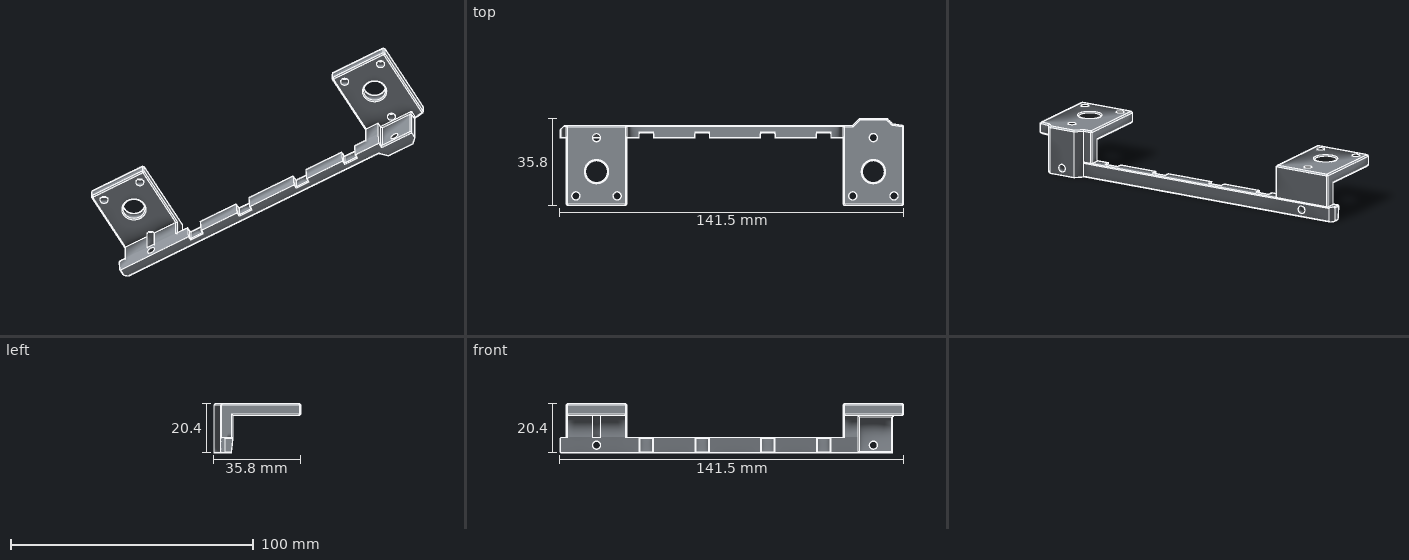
import cadquery as cq

total_length = 141.5
total_depth = 35.8
total_height = 20.35

edge_chamfer = 0.6
small_chamfer = 0.4

plate_width = 25.0
plate_thickness = 5.0
plate_bottom = total_height - plate_thickness
right_plate_x = total_length - plate_width
bracket_spacing = 114.0
left_plate_x = right_plate_x - bracket_spacing

rear_y = -2.8
leg_front_y = -7.9
bar_height = 6.35
bar_front_draft = 0.7
bar_end_corner = 1.8
hump_top_width = 11.6
pad_front_y = -5.4
pad_right_offset = 7.9
pad_left_offset = 6.3

screw_diameter = 3.25
mount_diameter = 3.2
center_diameter = 9.0
center_chamfer = 0.5
hole_pair_spacing = 17.0
back_hole_y = -7.8
back_to_center_hole = 14.0
center_to_front_holes = 10.0
center_hole_y = back_hole_y - back_to_center_hole
front_hole_y = center_hole_y - center_to_front_holes
mount_hole_z = bar_height / 2

notch_width = 6.0
notch_floor_y = -5.8
inner_notch_offset = 13.5
outer_notch_offset = 36.5
notch_overrun = 1.0

left_center_x = left_plate_x + plate_width / 2
right_center_x = right_plate_x + plate_width / 2
bar_right_x = right_center_x - pad_left_offset
pad_right_x = right_center_x + pad_right_offset
hump_left_x = right_center_x - hump_top_width / 2
hump_right_x = right_center_x + hump_top_width / 2
hump_left_base_x = hump_left_x + rear_y
hump_right_base_y = hump_right_x - pad_right_x


def box(x_min, x_max, y_min, y_max, z_min, z_max):
    """Axis-aligned block given by its limits."""
    size = (x_max - x_min, y_max - y_min, z_max - z_min)
    return cq.Workplane("XY").box(*size, centered=False).translate((x_min, y_min, z_min))


def prism(outline, z_min, z_max):
    """Upright prism over a closed XY outline."""
    return cq.Workplane("XY").workplane(offset=z_min).polyline(outline).close().extrude(z_max - z_min)


def bevel_plate(plate):
    """Bevel the outer corners of a plate, the rear ones less, then its top and bottom rims."""
    plate = plate.edges("|Z and <Y").chamfer(edge_chamfer)
    plate = plate.edges("|Z").edges("<X or >X").edges(">Y").chamfer(small_chamfer)
    return plate.faces("<Z or >Z").edges().chamfer(edge_chamfer)


def make_left_plate():
    """Plain rectangular plate."""
    plate = box(left_plate_x, left_plate_x + plate_width, -total_depth, rear_y, plate_bottom, total_height)
    return bevel_plate(plate)


def make_right_plate():
    """Plate with a hump at its rear edge."""
    outline = [
        (right_plate_x, -total_depth),
        (total_length, -total_depth),
        (total_length, rear_y),
        (pad_right_x, hump_right_base_y),
        (hump_right_x, 0),
        (hump_left_x, 0),
        (hump_left_base_x, rear_y),
        (right_plate_x, rear_y),
    ]
    return bevel_plate(prism(outline, plate_bottom, total_height))


def make_leg(x_min, x_max, outer_sides):
    """Upright leg that joins a plate to the bar, bevelled along its outer sides."""
    leg = box(x_min, x_max, leg_front_y, rear_y, bar_height, total_height - edge_chamfer)
    leg = leg.edges("|Z and <Y").edges(outer_sides).chamfer(edge_chamfer)
    return leg.edges("|Z and >Y").edges(outer_sides).chamfer(small_chamfer)


def make_pad():
    """Rear mounting pad under the right plate, with the hump outline at its back."""
    outline = [
        (hump_left_base_x, pad_front_y),
        (pad_right_x, pad_front_y),
        (pad_right_x, hump_right_base_y),
        (hump_right_x, 0),
        (hump_left_x, 0),
        (hump_left_base_x, rear_y),
    ]
    pad = prism(outline, 0, total_height - edge_chamfer)
    pad = pad.edges("|Z and >X and <Y").chamfer(small_chamfer)
    return pad.edges("<Z and <Y").chamfer(edge_chamfer)


def make_bar():
    """Long bar with a drafted front face and a sloped rear corner at its free end."""
    section = [
        (rear_y, 0),
        (rear_y, bar_height),
        (leg_front_y, bar_height),
        (leg_front_y + bar_front_draft, 0),
    ]
    bar = cq.Workplane("YZ").polyline(section).close().extrude(bar_right_x)
    bar = bar.edges("|Z and <X and >Y").chamfer(bar_end_corner)
    bar = bar.faces("<X or >Y").edges("<Z or >Z").chamfer(small_chamfer)
    return bar


def make_pad_corners():
    """Sloped inside corners that join the pad to the plate above it and to the leg and bar beside it."""
    under_plate = box(
        bar_right_x,
        pad_right_x + edge_chamfer,
        pad_front_y - edge_chamfer,
        rear_y - edge_chamfer,
        plate_bottom - edge_chamfer,
        plate_bottom + edge_chamfer,
    )
    under_plate = under_plate.edges("<Z and (<Y or >X)").chamfer(edge_chamfer)
    beside_leg = prism(
        [
            (bar_right_x, pad_front_y),
            (bar_right_x + edge_chamfer, pad_front_y),
            (bar_right_x, pad_front_y - edge_chamfer),
        ],
        edge_chamfer,
        plate_bottom,
    )
    return under_plate.union(beside_leg)


def make_notch(center_x):
    """Notch cutter: its floor has bevelled top and bottom edges and bevelled inside corners."""
    open_y = leg_front_y - notch_overrun
    lip_y = notch_floor_y + small_chamfer
    section = [
        (open_y, 0),
        (lip_y, 0),
        (notch_floor_y, small_chamfer),
        (notch_floor_y, bar_height - small_chamfer),
        (lip_y, bar_height),
        (open_y, bar_height),
    ]
    cutter = cq.Workplane("YZ").polyline(section).close().extrude(notch_width)
    cutter = cutter.edges("|Z").edges(">Y").chamfer(small_chamfer)
    return cutter.translate((center_x - notch_width / 2, 0, 0))


def make_plate_holes(center_x):
    """Vertical holes of one bracket: bevelled centre hole, back screw hole and a front pair."""
    depth = total_height - bar_height
    half_pair = hole_pair_spacing / 2
    screw_points = [
        (center_x, back_hole_y),
        (center_x - half_pair, front_hole_y),
        (center_x + half_pair, front_hole_y),
    ]
    base = cq.Workplane("XY").workplane(offset=bar_height)
    screws = base.pushPoints(screw_points).circle(screw_diameter / 2).extrude(depth)
    radius = center_diameter / 2
    rim = radius + center_chamfer
    profile = [
        (0, plate_bottom),
        (rim, plate_bottom),
        (radius, plate_bottom + center_chamfer),
        (radius, total_height - center_chamfer),
        (rim, total_height),
        (0, total_height),
    ]
    center = cq.Workplane("XZ").polyline(profile).close().revolve(360, (0, 0), (0, 1))
    return screws.union(center.translate((center_x, center_hole_y, 0)))


def make_mount_hole(center_x):
    """Horizontal hole along Y through the bar or the pad."""
    hole = cq.Workplane("XZ").center(center_x, mount_hole_z).circle(mount_diameter / 2)
    return hole.extrude(-leg_front_y)


result = make_bar()
result = result.union(make_pad())
result = result.union(make_leg(left_plate_x, left_plate_x + plate_width, "<X or >X"))
result = result.union(make_leg(right_plate_x, bar_right_x, "<X"))
result = result.union(make_left_plate()).union(make_right_plate())
result = result.union(make_pad_corners())

for bracket_x in (left_center_x, right_center_x):
    result = result.cut(make_plate_holes(bracket_x))
    result = result.cut(make_mount_hole(bracket_x))

notch_middle_x = (left_center_x + right_center_x) / 2
for offset in (inner_notch_offset, outer_notch_offset):
    for side in (-1, 1):
        result = result.cut(make_notch(notch_middle_x + side * offset))